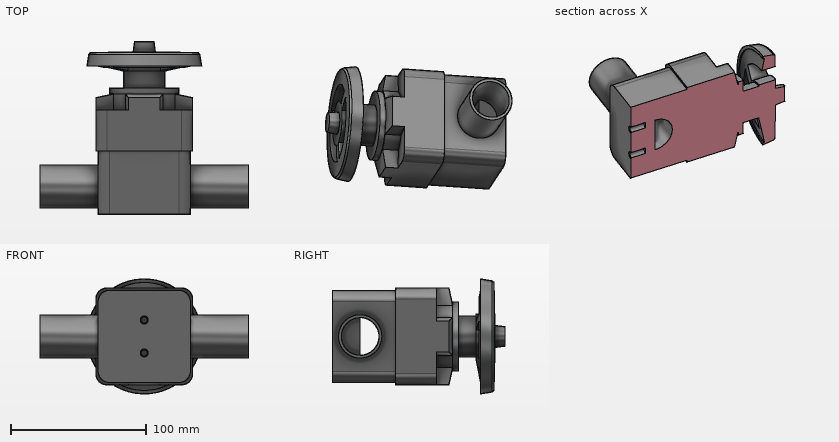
import cadquery as cq
import math


pipe_length = 154.0
pipe_radius = 16.0
bore_radius = 13.9
body_side = 68.0
body_front_y = -20.5
body_back_y = 26.2
corner_radius = 8.3

hole_spacing = 24.3
hole_radius = 2.3
hole_depth = 12.3
hole_mouth_radius = 3.0

bonnet_side = 71.6
notch_floor_y = 56.4
arm_end_y = 65.6
bonnet_top_y = 68.4
arm_tip_half_width = 11.5
arm_root_half_width = 14.0
arm_root_reach = 22.8
core_radius = math.hypot(arm_root_half_width, arm_root_reach)

flange_radius = 25.5
flange_top_y = 72.7
neck_radius = 15.2
knob_base_radius = 8.3
knob_tip_radius = 7.2
knob_top_y = 107.0

wheel_radius = 42.5
wheel_top_radius = 40.0
wheel_shoulder_radius = 41.1
rim_inner_radius = 39.9
hub_radius = 16.5
hub_bottom_y = 85.5
rim_bottom_y = 88.9
web_edge_y = 90.0
wheel_shoulder_y = 97.3
wheel_top_y = 98.9
crown_y = 99.5
window_count = 3
window_outer_radius = 28.8
spoke_width = 7.4


def plane_at(y):
    """Plane at a stem station, facing +Y, with its local y along +Z."""
    return cq.Workplane(cq.Plane(origin=(0, y, 0), xDir=(-1, 0, 0), normal=(0, 1, 0)))


def disc(radius, start_y, end_y):
    return plane_at(start_y).circle(radius).extrude(end_y - start_y)


def rounded_block(side, start_y, end_y):
    block = plane_at(start_y).rect(side, side).extrude(end_y - start_y)
    return block.edges("|Y").fillet(corner_radius)


def revolved(profile):
    """Revolve (radius, y) points around the stem axis."""
    return cq.Workplane("XY").polyline(profile).close().revolve(360, (0, 0, 0), (0, 1, 0))


def make_body():
    body = rounded_block(body_side, body_front_y, body_back_y)
    pipe = cq.Workplane("YZ").circle(pipe_radius).extrude(pipe_length / 2, both=True)
    return body.union(pipe)


def make_flow_path():
    """Full bore in the pipe ends; only the stem-side half passes through the body."""
    bore = cq.Workplane("YZ").circle(bore_radius).extrude(pipe_length / 2, both=True)
    weir = cq.Workplane("XY").box(body_side, bore_radius, 2 * bore_radius)
    return bore.cut(weir.translate((0, -bore_radius / 2, 0)))


def make_mounting_holes():
    mouth_depth = hole_mouth_radius - hole_radius
    hole = revolved([
        (0, body_front_y),
        (hole_mouth_radius, body_front_y),
        (hole_radius, body_front_y + mouth_depth),
        (hole_radius, body_front_y + hole_depth),
        (0, body_front_y + hole_depth),
    ])
    upper = hole.translate((0, 0, hole_spacing / 2))
    lower = hole.translate((0, 0, -hole_spacing / 2))
    return upper.union(lower)


def make_bonnet():
    """Rounded block topped by a round core with four tapered, sloping arms."""
    half = bonnet_side / 2
    top_height = bonnet_top_y - notch_floor_y
    arm_pair = (
        plane_at(notch_floor_y)
        .polyline([
            (-half, -arm_tip_half_width),
            (-arm_root_reach, -arm_root_half_width),
            (arm_root_reach, -arm_root_half_width),
            (half, -arm_tip_half_width),
            (half, arm_tip_half_width),
            (arm_root_reach, arm_root_half_width),
            (-arm_root_reach, arm_root_half_width),
            (-half, arm_tip_half_width),
        ])
        .close()
        .extrude(top_height)
    )
    sloped_bar = (
        cq.Workplane("XY")
        .polyline([
            (-half, notch_floor_y),
            (half, notch_floor_y),
            (half, arm_end_y),
            (arm_root_reach, bonnet_top_y),
            (-arm_root_reach, bonnet_top_y),
            (-half, arm_end_y),
        ])
        .close()
        .extrude(half, both=True)
    )
    top = disc(core_radius, notch_floor_y, bonnet_top_y)
    for turn in (0, 90):
        top = top.union(arm_pair.rotate((0, 0, 0), (0, 1, 0), turn))
    for turn in (0, 90):
        top = top.intersect(sloped_bar.rotate((0, 0, 0), (0, 1, 0), turn))
    return rounded_block(bonnet_side, body_back_y, notch_floor_y).union(top)


def make_stem():
    flange = disc(flange_radius, bonnet_top_y, flange_top_y)
    neck = disc(neck_radius, flange_top_y, crown_y)
    knob = revolved([
        (0, wheel_top_y),
        (knob_base_radius, wheel_top_y),
        (knob_tip_radius, knob_top_y),
        (0, knob_top_y),
    ])
    return flange.union(neck).union(knob)


def make_wheel_windows():
    """Ring between hub and rim, less the parallel-sided spokes."""
    height = crown_y - hub_bottom_y
    windows = (
        plane_at(hub_bottom_y).circle(window_outer_radius).circle(hub_radius).extrude(height)
    )
    spoke = (
        plane_at(hub_bottom_y)
        .center(0, -wheel_radius / 2)
        .rect(spoke_width, wheel_radius)
        .extrude(height)
    )
    for index in range(window_count):
        windows = windows.cut(spoke.rotate((0, 0, 0), (0, 1, 0), index * 360 / window_count))
    return windows


def make_handwheel():
    wheel = revolved([
        (0, hub_bottom_y),
        (hub_radius, hub_bottom_y),
        (rim_inner_radius, web_edge_y),
        (rim_inner_radius, rim_bottom_y),
        (wheel_radius, rim_bottom_y),
        (wheel_shoulder_radius, wheel_shoulder_y),
        (wheel_top_radius, wheel_top_y),
        (hub_radius, crown_y),
        (0, crown_y),
    ])
    return wheel.cut(make_wheel_windows())


result = (
    make_body()
    .cut(make_flow_path())
    .cut(make_mounting_holes())
    .union(make_bonnet())
    .union(make_stem())
    .union(make_handwheel())
)